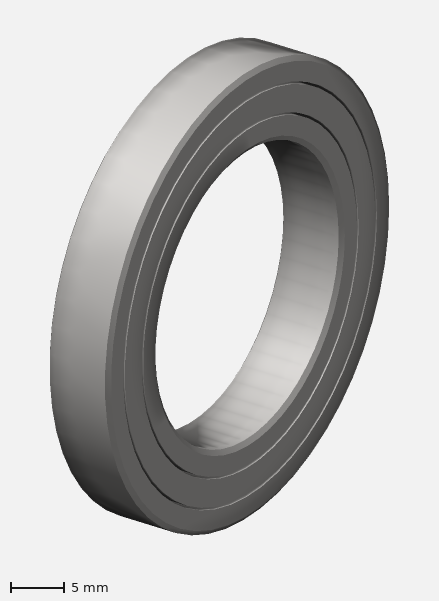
import cadquery as cq

width = 7.0
bore_diameter = 30.0
outer_diameter = 46.5
race_wall = 2.5
radial_gap = 0.25
chamfer_radial = 0.5
chamfer_axial = 0.35

inner_ring_outer_diameter = bore_diameter + 2 * race_wall
outer_ring_inner_diameter = outer_diameter - 2 * race_wall
middle_ring_inner_diameter = inner_ring_outer_diameter + 2 * radial_gap
middle_ring_outer_diameter = outer_ring_inner_diameter - 2 * radial_gap


def ring(inside_diameter, outside_diameter, bore_chamfered=False, rim_chamfered=False):
    """Ring revolved about the X axis, with chamfers at the bore or the rim where asked."""
    half_width = width / 2
    inside_radius = inside_diameter / 2
    outside_radius = outside_diameter / 2
    straight = half_width - chamfer_axial

    if bore_chamfered:
        bore_side = [
            (half_width, inside_radius + chamfer_radial),
            (straight, inside_radius),
            (-straight, inside_radius),
            (-half_width, inside_radius + chamfer_radial),
        ]
    else:
        bore_side = [(half_width, inside_radius), (-half_width, inside_radius)]

    if rim_chamfered:
        rim_side = [
            (-half_width, outside_radius - chamfer_radial),
            (-straight, outside_radius),
            (straight, outside_radius),
            (half_width, outside_radius - chamfer_radial),
        ]
    else:
        rim_side = [(-half_width, outside_radius), (half_width, outside_radius)]

    profile = cq.Workplane("XY").polyline(bore_side + rim_side).close()
    return profile.revolve(360, (0, 0, 0), (1, 0, 0))


inner_ring = ring(bore_diameter, inner_ring_outer_diameter, bore_chamfered=True)

middle_ring = ring(middle_ring_inner_diameter, middle_ring_outer_diameter)

outer_ring = ring(outer_ring_inner_diameter, outer_diameter, rim_chamfered=True)

result = cq.Compound.makeCompound([inner_ring.val(), middle_ring.val(), outer_ring.val()])